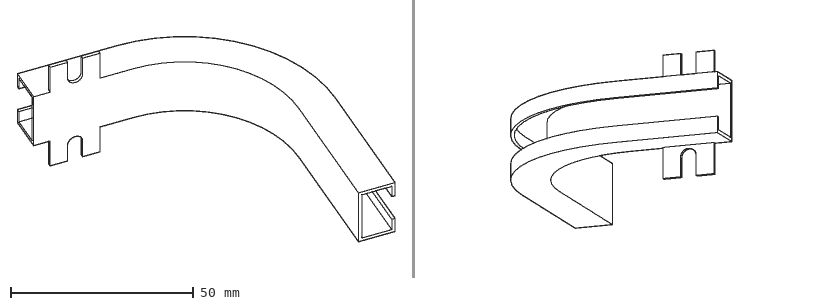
import cadquery as cq

length_x = 85.5
length_y = 75.5
overall_height = 35.0

channel_width = 11.0
channel_height = 17.35
wall = 1.0
slot_height = 8.0

outer_radius = 45.5

tab_width = 15.05
tab_end_distance = 5.0
notch_width = 4.5
notch_depth = 7.9


def bend_band(near_offset, far_offset, height):
    """Bent strip between two offsets from the outer face, centred on Z = 0."""
    near_radius = outer_radius - near_offset
    far_radius = outer_radius - far_offset
    bend_y = length_y - outer_radius
    center = (outer_radius, bend_y)

    def arc_middle(radius):
        diagonal = radius * 0.5 ** 0.5
        return (center[0] - diagonal, center[1] + diagonal)

    return (
        cq.Workplane("XY")
        .workplane(offset=-height / 2)
        .moveTo(near_offset, 0)
        .lineTo(near_offset, bend_y)
        .threePointArc(arc_middle(near_radius), (outer_radius, length_y - near_offset))
        .lineTo(length_x, length_y - near_offset)
        .lineTo(length_x, length_y - far_offset)
        .lineTo(outer_radius, length_y - far_offset)
        .threePointArc(arc_middle(far_radius), (far_offset, bend_y))
        .lineTo(far_offset, 0)
        .close()
        .extrude(height)
    )


def make_channel():
    """Bent C channel, open at both ends."""
    inner_face = channel_width - wall
    body = bend_band(0, channel_width, channel_height)
    cavity = bend_band(wall, inner_face, channel_height - 2 * wall)
    slot = bend_band(0, inner_face, slot_height)
    return body.cut(cavity).cut(slot)


def make_tab(side):
    """Notched tab above (side = 1) or below (side = -1) the channel."""
    tab_middle_y = tab_end_distance + tab_width / 2
    notch_radius = notch_width / 2
    tip_z = side * overall_height / 2
    root_z = side * (channel_height / 2 - wall)
    bottom_z = tip_z - side * notch_depth
    straight_z = bottom_z + side * notch_radius
    return (
        cq.Workplane("YZ")
        .workplane(offset=channel_width - wall)
        .moveTo(tab_end_distance, root_z)
        .lineTo(tab_end_distance, tip_z)
        .lineTo(tab_middle_y - notch_radius, tip_z)
        .lineTo(tab_middle_y - notch_radius, straight_z)
        .threePointArc((tab_middle_y, bottom_z), (tab_middle_y + notch_radius, straight_z))
        .lineTo(tab_middle_y + notch_radius, tip_z)
        .lineTo(tab_end_distance + tab_width, tip_z)
        .lineTo(tab_end_distance + tab_width, root_z)
        .close()
        .extrude(wall)
    )


result = make_channel()
for side in (1, -1):
    result = result.union(make_tab(side))